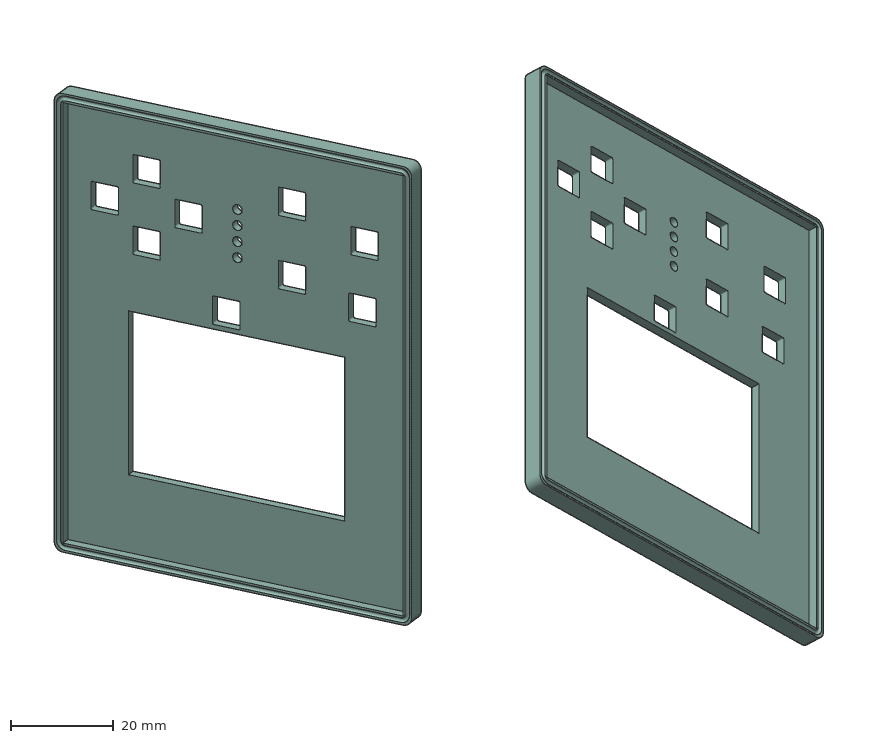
import cadquery as cq

width = 78.9
depth = 4.0
height = 97.2
corner_radius = 1.9

rim = 1.9
floor_thickness = depth / 2
pocket_depth = depth - floor_thickness

groove_inset = rim / 2
groove_radius = 0.5
groove_corner_radius = 1.5

button_size = 6.0
button_corner_radius = 0.3
pad_x = -20.1
pad_z = 27.3
pad_reach_x = 9.2
pad_reach_z = 7.6
action_x = 12.0
action_upper_z = 34.6
action_lower_z = 19.05
button_centres = [
    (pad_x - pad_reach_x, pad_z),
    (pad_x + pad_reach_x, pad_z),
    (pad_x, pad_z + pad_reach_z),
    (pad_x, pad_z - pad_reach_z),
    (action_x, action_upper_z),
    (action_x, action_lower_z),
    (28.0, 29.5),
    (27.5, 15.4),
    (-2.5, 8.6),
]

screen_width = 47.7
screen_height = 34.7
screen_x = -0.3
screen_z = -12.8

lamp_diameter = 2.0
lamp_count = 4
lamp_pitch = 3.4
lamp_x = -0.1
lamp_z = 25.9

front_y = -depth / 2


def front_plane():
    """Sketch plane on the rim face: local x is X, local y is Z, normal is -Y."""
    return cq.Workplane("XZ", origin=(0, front_y, 0))


def plate():
    return front_plane().rect(width, height).extrude(-depth).edges("|Y").fillet(corner_radius)


def pocket():
    return front_plane().rect(width - 2 * rim, height - 2 * rim).extrude(-pocket_depth)


def groove():
    """Round bar swept around the rim centre line, half of it sunk into the rim face."""
    path_width = width - 2 * groove_inset
    path_height = height - 2 * groove_inset
    core = front_plane().rect(path_width, path_height).extrude(-depth)
    core = core.edges("|Y").fillet(groove_corner_radius)
    centre_line = core.faces("<Y").wires()
    start = centre_line.val().startPoint()
    direction = centre_line.val().tangentAt(0)
    profile_plane = cq.Plane(origin=start, xDir=(0, 1, 0), normal=direction)
    return cq.Workplane(profile_plane).circle(groove_radius).sweep(centre_line)


def through_rects(centres, size_x, size_z):
    return front_plane().pushPoints(centres).rect(size_x, size_z).extrude(-depth)


def button_holes():
    holes = through_rects(button_centres, button_size, button_size)
    return holes.edges("|Y").fillet(button_corner_radius)


def lamp_holes():
    return (
        front_plane()
        .center(lamp_x, lamp_z)
        .rarray(1, lamp_pitch, 1, lamp_count)
        .circle(lamp_diameter / 2)
        .extrude(-depth)
    )


result = (
    plate()
    .cut(pocket())
    .cut(groove())
    .cut(button_holes())
    .cut(through_rects([(screen_x, screen_z)], screen_width, screen_height))
    .cut(lamp_holes())
)